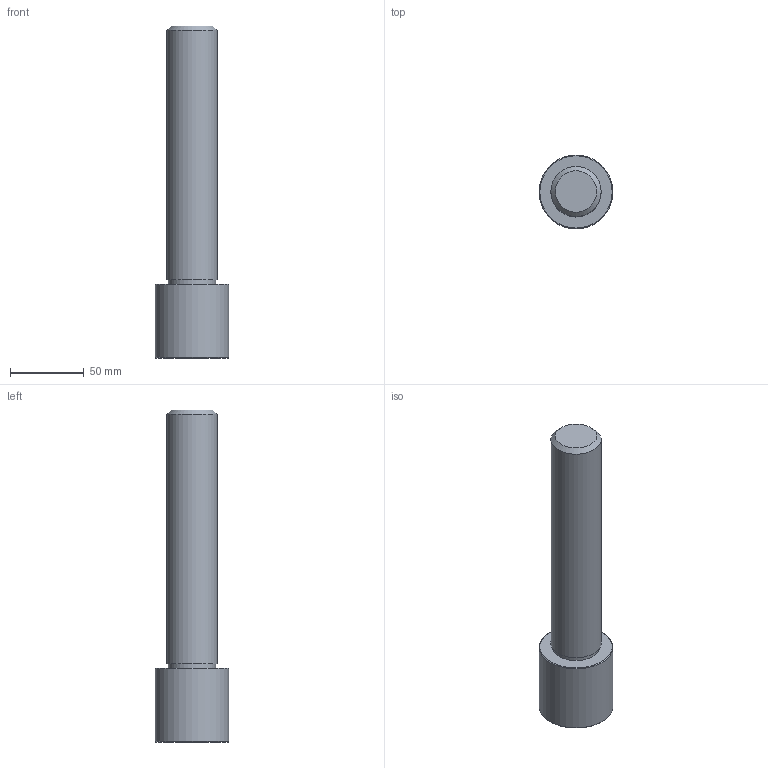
import cadquery as cq

head_diameter = 50.0
head_height = 50.0
head_chamfer = 0.5
shank_diameter = 34.1
total_height = 225.0
tip_chamfer = 3.0
undercut_diameter = 32.0
undercut_height = 3.0

head_radius = head_diameter / 2
shank_radius = shank_diameter / 2
undercut_radius = undercut_diameter / 2
shank_base = head_height + undercut_height

profile = (
    cq.Workplane("XZ")
    .moveTo(0, 0)
    .lineTo(head_radius - head_chamfer, 0)
    .lineTo(head_radius, head_chamfer)
    .lineTo(head_radius, head_height - head_chamfer)
    .lineTo(head_radius - head_chamfer, head_height)
    .lineTo(undercut_radius, head_height)
    .lineTo(undercut_radius, shank_base)
    .lineTo(shank_radius, shank_base)
    .lineTo(shank_radius, total_height - tip_chamfer)
    .lineTo(shank_radius - tip_chamfer, total_height)
    .lineTo(0, total_height)
    .close()
)

result = profile.revolve(360, (0, 0, 0), (0, 1, 0))